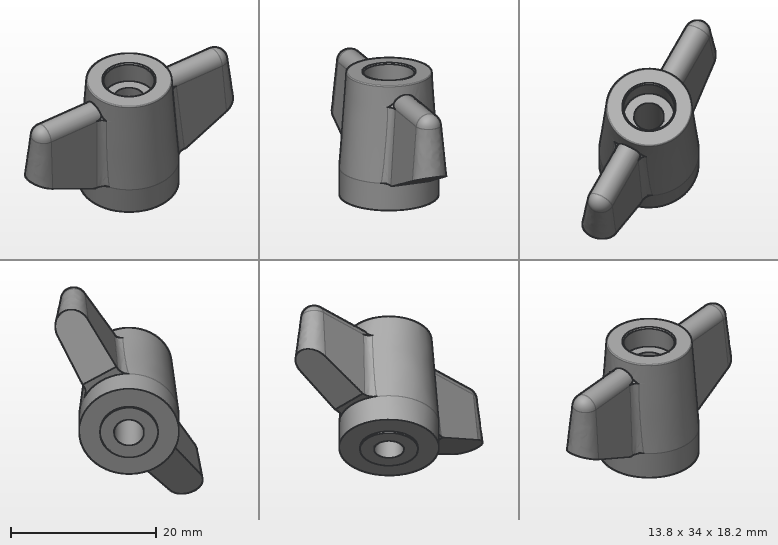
import cadquery as cq
import math


total_height = 18.2
foot_diameter = 8.0
foot_height = 0.3
collar_diameter = 13.75
collar_height = 4.0
hub_top_diameter = 11.8
hub_top_fillet = 0.15

bore_diameter = 4.13
counterbore_diameter = 7.0
counterbore_depth = 3.1
counterbore_chamfer = 0.2

wing_reach = 17.0
wing_top_z = 16.75
wing_ridge_radius = 1.8
wing_side_draft = 5.0
tip_center_y = 14.4
underside_flat_end_y = 7.7
underside_angle = 23.5
root_radius_bottom = 1.75
root_radius_top = 1.2
root_peak_half_width = 0.6
root_peak_drop = 0.35
root_peak_radius = 0.6

collar_top_z = foot_height + collar_height
ridge_axis_z = wing_top_z - wing_ridge_radius
ridge_tangent_z = ridge_axis_z + wing_ridge_radius * math.sin(math.radians(wing_side_draft))
ridge_half_width = wing_ridge_radius * math.cos(math.radians(wing_side_draft))
underside_slope = math.tan(math.radians(underside_angle))
tip_low_z = collar_top_z + (wing_reach - underside_flat_end_y) * underside_slope


def hub_radius(z):
    """Radius of the tapered hub at height z."""
    rise = (z - collar_top_z) / (total_height - collar_top_z)
    return (collar_diameter + rise * (hub_top_diameter - collar_diameter)) / 2


def wing_half_width(z):
    """Half thickness of the drafted wing at height z."""
    return ridge_half_width + (ridge_tangent_z - z) * math.tan(math.radians(wing_side_draft))


def tip_center(z):
    """Y of the tip centre; it leans outward going down so the tip ends at the wing reach."""
    lean = (wing_reach - wing_half_width(tip_low_z) - tip_center_y) / (ridge_tangent_z - tip_low_z)
    return tip_center_y + (ridge_tangent_z - z) * lean


def make_hub():
    foot = cq.Workplane("XY").circle(foot_diameter / 2).extrude(collar_top_z)
    collar = (
        cq.Workplane("XY")
        .workplane(offset=foot_height)
        .circle(collar_diameter / 2)
        .extrude(collar_height)
    )
    cone = (
        cq.Workplane("XY")
        .workplane(offset=collar_top_z)
        .circle(collar_diameter / 2)
        .workplane(offset=total_height - collar_top_z)
        .circle(hub_top_diameter / 2)
        .loft(ruled=True)
        .faces(">Z")
        .edges()
        .fillet(hub_top_fillet)
    )
    return foot.union(collar).union(cone)


def root_points(z, half_width, radius):
    """Ends of the root arc tangent to the hub circle and to the wing side, on the +X side."""
    hub = hub_radius(z)
    center_x = half_width + radius
    center_y = math.sqrt((hub + radius) ** 2 - center_x ** 2)
    on_hub = (center_x * hub / (hub + radius), center_y * hub / (hub + radius))
    on_wing = (half_width, center_y)
    return on_hub, on_wing


def wing_section(z, root_radius):
    """Horizontal wing section: flared root, straight sides and a half-round tip."""
    half_width = wing_half_width(z)
    (hub_x, hub_y), (side_x, side_y) = root_points(z, half_width, root_radius)
    center_y = tip_center(z)
    section = (
        cq.Workplane("XY", origin=(0, 0, z))
        .moveTo(-hub_x, 0)
        .lineTo(hub_x, 0)
        .lineTo(hub_x, hub_y)
        .radiusArc((side_x, side_y), root_radius)
        .lineTo(side_x, center_y)
        .threePointArc((0, center_y + half_width), (-side_x, center_y))
        .lineTo(-side_x, side_y)
        .radiusArc((-hub_x, hub_y), root_radius)
        .close()
    )
    return section.val()


def root_section(z, half_width, root_radius):
    """Horizontal section of the flared root alone."""
    (hub_x, hub_y), (side_x, side_y) = root_points(z, half_width, root_radius)
    section = (
        cq.Workplane("XY", origin=(0, 0, z))
        .moveTo(-hub_x, 0)
        .lineTo(hub_x, 0)
        .lineTo(hub_x, hub_y)
        .radiusArc((side_x, side_y), root_radius)
        .lineTo(-side_x, side_y)
        .radiusArc((-hub_x, hub_y), root_radius)
        .close()
    )
    return section.val()


def loft_between(lower, upper):
    return cq.Workplane(obj=cq.Solid.makeLoft([lower, upper], True))


def make_wing():
    """Wing along +Y, starting at the hub axis."""
    body = loft_between(
        wing_section(collar_top_z, root_radius_bottom),
        wing_section(ridge_tangent_z, root_radius_top),
    )
    root_peak = loft_between(
        root_section(ridge_tangent_z, ridge_half_width, root_radius_top),
        root_section(wing_top_z - root_peak_drop, root_peak_half_width, root_peak_radius),
    )
    ridge_start_y = (counterbore_diameter / 2 + hub_top_diameter / 2) / 2
    ridge = (
        cq.Workplane("XZ", origin=(0, ridge_start_y, ridge_axis_z))
        .circle(wing_ridge_radius)
        .extrude(ridge_start_y - tip_center_y)
    )
    tip_ball = cq.Workplane("XY", origin=(0, tip_center_y, ridge_axis_z)).sphere(wing_ridge_radius)
    wing = body.union(root_peak).union(ridge).union(tip_ball)
    return wing.cut(make_underside_wedge())


def make_underside_wedge():
    """Wedge below the rising underside of the wing."""
    wedge_end_y = 2 * wing_reach
    wedge_rise = (wedge_end_y - underside_flat_end_y) * underside_slope
    return (
        cq.Workplane("YZ")
        .moveTo(underside_flat_end_y, collar_top_z)
        .lineTo(wedge_end_y, collar_top_z + wedge_rise)
        .lineTo(wedge_end_y, collar_top_z)
        .close()
        .extrude(collar_diameter / 2, both=True)
    )


def make_bore():
    """Through hole with a chamfered counterbore from the top."""
    hole = cq.Workplane("XY").circle(bore_diameter / 2).extrude(total_height)
    floor_z = total_height - counterbore_depth
    counterbore = (
        cq.Workplane("XY")
        .workplane(offset=floor_z)
        .circle(counterbore_diameter / 2)
        .extrude(counterbore_depth)
    )
    rim = (
        cq.Workplane("XY")
        .workplane(offset=total_height - counterbore_chamfer)
        .circle(counterbore_diameter / 2)
        .workplane(offset=counterbore_chamfer)
        .circle(counterbore_diameter / 2 + counterbore_chamfer)
        .loft(ruled=True)
    )
    return hole.union(counterbore).union(rim)


knob = make_hub()
for wing_angle in (0, 180):
    knob = knob.union(make_wing().rotate((0, 0, 0), (0, 0, 1), wing_angle))
result = knob.cut(make_bore())